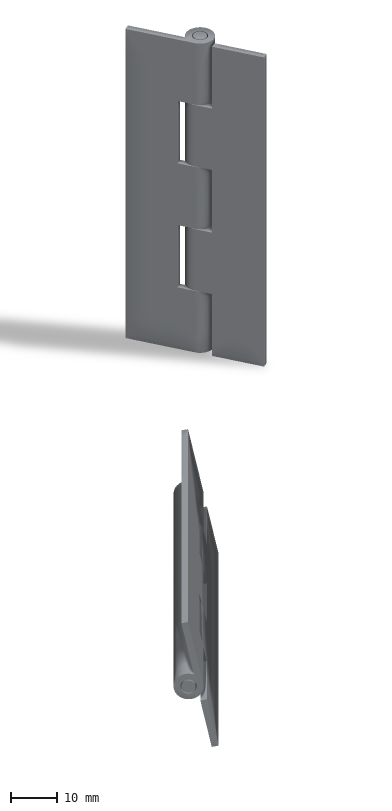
import cadquery as cq

LENGTH = 80.0
OPEN_WIDTH = 32.0
KNUCKLE_DIAMETER = 6.5
PIN_DIAMETER = 3.0
BORE_DIAMETER = 3.5
SLOT_EDGE = 4.0
KNUCKLE_COUNT = 5
AXIAL_GAP = 0.1

PITCH = LENGTH / KNUCKLE_COUNT
MIDDLE_KNUCKLE = KNUCKLE_COUNT // 2
LEAF_WIDTH = OPEN_WIDTH / 2
KNUCKLE_RADIUS = KNUCKLE_DIAMETER / 2
LEAF_THICKNESS = KNUCKLE_RADIUS - BORE_DIAMETER / 2


def knuckle_span(index):
    """Bottom and top Z of one knuckle; all but the middle one lose a gap on the end facing the middle."""
    bottom = index * PITCH
    top = bottom + PITCH
    if index > MIDDLE_KNUCKLE:
        bottom += AXIAL_GAP
    elif index < MIDDLE_KNUCKLE:
        top -= AXIAL_GAP
    return bottom, top


def make_strip(inner_x, outer_x, bottom, top):
    """Flat piece of leaf between two X positions and two heights."""
    return cq.Workplane("XY").box(
        outer_x - inner_x, LEAF_THICKNESS, top - bottom, centered=False
    ).translate((inner_x, -KNUCKLE_RADIUS, bottom))


def make_leaf(side, knuckle_indices):
    """Leaf on one side of the axis (-1 for -X, 1 for +X), with its bored knuckles."""
    outer_edge = side * LEAF_WIDTH
    slot_floor = side * SLOT_EDGE
    leaf = make_strip(min(outer_edge, slot_floor), max(outer_edge, slot_floor), 0, LENGTH)
    for index in knuckle_indices:
        bottom, top = knuckle_span(index)
        barrel = cq.Workplane("XY", origin=(0, 0, bottom)).circle(KNUCKLE_RADIUS).extrude(top - bottom)
        tab = make_strip(min(0, slot_floor), max(0, slot_floor), bottom, top)
        leaf = leaf.union(tab).union(barrel)
    bore = cq.Workplane("XY").circle(BORE_DIAMETER / 2).extrude(LENGTH)
    return leaf.cut(bore).clean()


def make_pin():
    """Plain pin running the full length of the hinge."""
    return cq.Workplane("XY").circle(PIN_DIAMETER / 2).extrude(LENGTH)


left_leaf = make_leaf(-1, range(0, KNUCKLE_COUNT, 2))
right_leaf = make_leaf(1, range(1, KNUCKLE_COUNT, 2))
pin = make_pin()

result = cq.Compound.makeCompound([left_leaf.val(), right_leaf.val(), pin.val()])